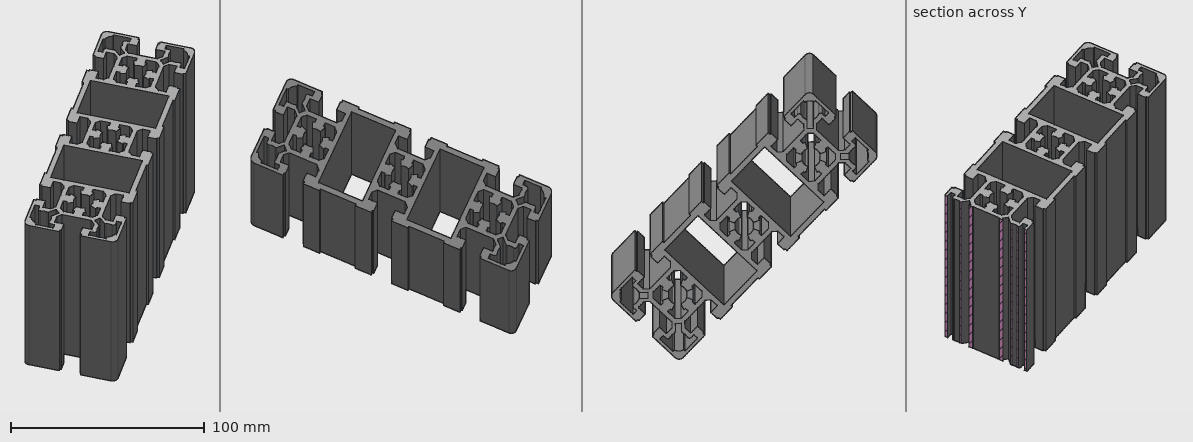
import cadquery as cq
import math

MODULE = 50.0
CORE_CELLS = 3
LENGTH = 100.0
WIDTH = MODULE
HEIGHT = MODULE * CORE_CELLS
CORNER_RADIUS = 3.0
HALF = MODULE / 2

WALL = 2.5
CORE_HALF = 12.5
CORE_INNER_HALF = CORE_HALF - WALL
CORE_CHAMFER = 2.15

BORE_RADIUS = 5.0
RIB_NECK_HALF = 2.5
RIB_NECK_END = 8.1
RIB_BARB_HALF = 3.6
RIB_BARB_DEPTH = 7.75
RIB_TIP_HALF = 2.2

SLOT_MOUTH_HALF = 5.75
SLOT_THROAT_HALF = 5.0
SLOT_MOUTH_DEPTH = 1.3
SLOT_LIP = 6.1
SLOT_CAVITY_HALF = 10.0
SLOT_CHAMFER = 2.2

POCKET_WALL = 1.7
POCKET_OUTER = HALF - POCKET_WALL
POCKET_INNER = 12.8
POCKET_LEG_TIP = 9.5
POCKET_LEG_EDGE = 20.7
POCKET_SHOULDER = HALF - SLOT_LIP
POCKET_EDGE_RADIUS = 1.25
POCKET_BORE_CENTER = 17.5
POCKET_BORE_RADIUS = 5.0
POCKET_SLIT_WIDTH = 3.2
POCKET_SLIT_END = 15.2

CHAMBER_WIDTH = 42.2
CHAMBER_HEIGHT = 24.9
RECESS_DEPTH = 1.0
RECESS_HEIGHT = 20.0

QUARTER_TURN = 90
TOP, LEFT, BOTTOM, RIGHT = [turn * QUARTER_TURN for turn in range(4)]
DIAGONAL = QUARTER_TURN / 2


def prism(points):
    """Extrude a closed polygon over the full length of the profile."""
    return cq.Workplane("XY").polyline(points).close().extrude(LENGTH)


def block(width, height):
    """Full-length block centred on the Z axis."""
    return cq.Workplane("XY").rect(width, height).extrude(LENGTH)


def mirrored_prism(half_points):
    """Extrude an outline given by its +X half, mirrored about the Y axis."""
    other_half = [(-x, y) for x, y in reversed(half_points)]
    return prism(half_points + other_half)


def turned(shape, angle):
    """Rotate a shape about the Z axis."""
    return shape.rotate((0, 0, 0), (0, 0, 1), angle)


def slot():
    """T-slot opening through the +Y face of a cell."""
    throat_top = HALF - SLOT_MOUTH_DEPTH
    cavity_top = HALF - SLOT_LIP
    return mirrored_prism([
        (SLOT_CAVITY_HALF - SLOT_CHAMFER, CORE_HALF),
        (SLOT_CAVITY_HALF, CORE_HALF + SLOT_CHAMFER),
        (SLOT_CAVITY_HALF, cavity_top),
        (SLOT_THROAT_HALF, cavity_top),
        (SLOT_THROAT_HALF, throat_top),
        (SLOT_MOUTH_HALF, throat_top),
        (SLOT_MOUTH_HALF, HALF),
    ])


def rib():
    """Barbed rib reaching from the +Y core wall towards the screw bore."""
    tip = math.sqrt(BORE_RADIUS**2 - RIB_TIP_HALF**2)
    return mirrored_prism([
        (RIB_TIP_HALF, tip),
        (RIB_BARB_HALF, RIB_BARB_DEPTH),
        (RIB_NECK_HALF, RIB_NECK_END),
        (RIB_NECK_HALF, CORE_INNER_HALF),
    ])


def core_opening():
    """Hollow of the core tube, with the four ribs left standing."""
    side = 2 * CORE_INNER_HALF
    opening = block(side, side).edges("|Z").chamfer(CORE_CHAMFER)
    for angle in (TOP, LEFT, BOTTOM, RIGHT):
        opening = opening.cut(turned(rib(), angle))
    bore = cq.Workplane("XY").circle(BORE_RADIUS).extrude(LENGTH)
    return opening.union(bore)


def corner_pocket():
    """Hollow in the +X +Y corner, symmetric about the cell diagonal."""
    lower_half = [
        (POCKET_INNER, POCKET_INNER),
        (POCKET_LEG_EDGE, POCKET_INNER),
        (POCKET_LEG_EDGE, POCKET_LEG_TIP),
        (POCKET_OUTER, POCKET_LEG_TIP),
        (POCKET_OUTER, POCKET_SHOULDER),
        (POCKET_SHOULDER, POCKET_SHOULDER),
    ]
    upper_half = [(y, x) for x, y in reversed(lower_half[1:-1])]
    mid_length = LENGTH / 2
    nearest = cq.selectors.NearestToPointSelector
    leg_corners = (
        nearest((POCKET_LEG_EDGE, POCKET_INNER, mid_length))
        + nearest((POCKET_INNER, POCKET_LEG_EDGE, mid_length))
    )
    pocket = prism(lower_half + upper_half)
    pocket = pocket.edges("|Z").edges(leg_corners).fillet(POCKET_EDGE_RADIUS)
    bore = (
        cq.Workplane("XY")
        .center(POCKET_BORE_CENTER, POCKET_BORE_CENTER)
        .circle(POCKET_BORE_RADIUS)
        .extrude(LENGTH)
    )
    slit_length = POCKET_BORE_CENTER * math.sqrt(2) - POCKET_SLIT_END
    slit_middle = POCKET_SLIT_END + slit_length / 2
    slit = block(slit_length, POCKET_SLIT_WIDTH).translate((slit_middle, 0, 0))
    return pocket.union(bore).union(turned(slit, DIAGONAL))


def chamber():
    """Rectangular chamber with a shallow recess in each outer side."""
    opening = block(CHAMBER_WIDTH, CHAMBER_HEIGHT)
    recess = block(RECESS_DEPTH, RECESS_HEIGHT)
    recess_x = (WIDTH - RECESS_DEPTH) / 2
    for x in (-recess_x, recess_x):
        opening = opening.union(recess.translate((x, 0, 0)))
    return opening


def build_profile():
    """Cut every opening out of a solid bar with rounded corners."""
    profile = block(WIDTH, HEIGHT).edges("|Z").fillet(CORNER_RADIUS)
    end_y = (HEIGHT - MODULE) / 2

    for cell in range(CORE_CELLS):
        place = (0, cell * MODULE - end_y, 0)
        profile = profile.cut(core_opening().translate(place))
        for angle in (LEFT, RIGHT):
            profile = profile.cut(turned(slot(), angle).translate(place))

    for gap in range(CORE_CELLS - 1):
        chamber_y = gap * MODULE + MODULE / 2 - end_y
        profile = profile.cut(chamber().translate((0, chamber_y, 0)))

    for angle, y in ((TOP, end_y), (BOTTOM, -end_y)):
        profile = profile.cut(turned(slot(), angle).translate((0, y, 0)))
        for pocket_turn in (angle, angle + QUARTER_TURN):
            profile = profile.cut(turned(corner_pocket(), pocket_turn).translate((0, y, 0)))
    return profile


result = build_profile()